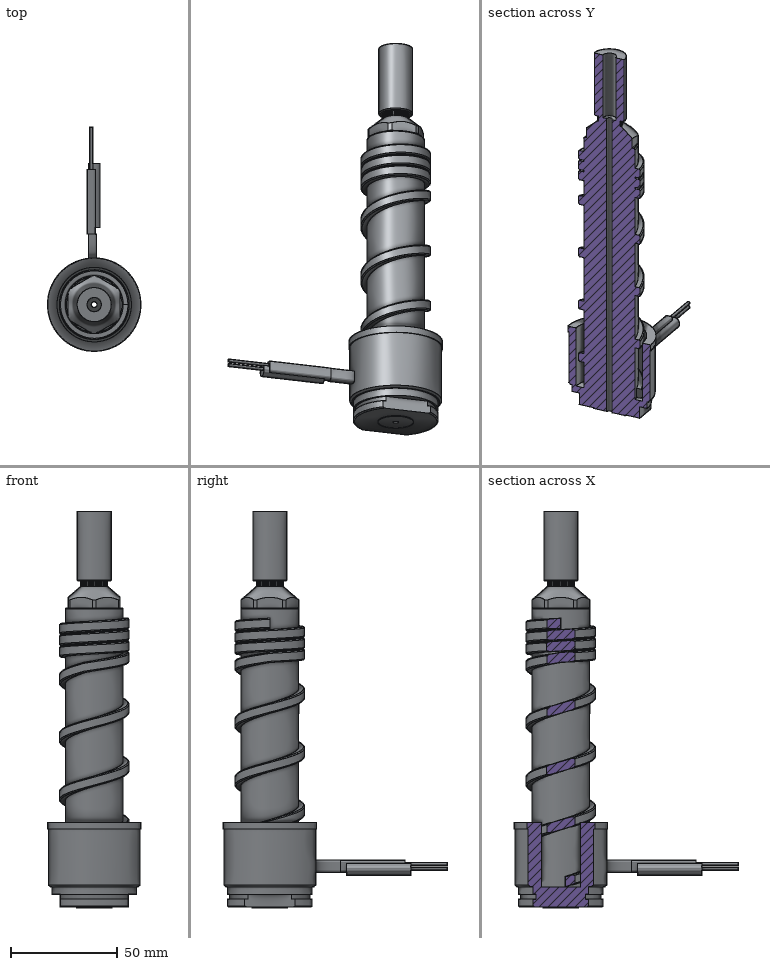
import cadquery as cq
import math

length = 186.3
foot_top = 0.4
groove_bottom = 4.1
groove_top = 6.3
shoulder_top = 9.9
flange_bottom = 37.0
housing_top = 40.2
bar_top = 141.0
neck_bottom = 151.0
neck_top = 153.5

foot_radius = 8.4
base_radius = 20.0
groove_radius = 19.0
housing_radius = 21.6
flange_radius = 22.0
housing_bore_radius = 17.5
bar_radius = 13.6
neck_radius = 6.3
tip_radius = 8.0
tip_bore_radius = 3.4
through_bore_radius = 1.3
edge_chamfer = 0.5
housing_chamfer = 1.0
flat_distance = 16.0

hex_across_flats = 24.4
hex_corner_radius = bar_radius
cone_rise_per_radius = 0.87

serration_count = 32
serration_depth = 0.5
serration_width = 0.5

coil_outer_radius = 16.4
coil_overlap = 0.5
coil_inner_radius = bar_radius - coil_overlap
coil_height = 4.8
coil_chamfer = 0.5
open_pitch = 27.4
open_end_height = 113.0
open_end_angle = -107.0
transition_end_height = 117.7
transition_turns = -open_end_angle / 360
closed_end_height = 133.8
closed_turns = 3

cable_start = 19.5
cable_end = 33.2
sleeve_end = 63.5
cable_width = 4.0
cable_height = 6.0
sleeve_height = 5.8
cable_corner = 1.1
cable_center_x = -0.84
sleeve_center_x = -1.4
lead_center_z = 19.5
body_radius = 2.8
body_start = 36.1
body_end = 66.3
body_center_z = 18.0
wire_radius = 0.7
wire_spacing = 2.2
wire_end = 83.5
wire_overlap = 1.9


def cylinder(radius, bottom, top):
    return cq.Workplane("XY").workplane(offset=bottom).circle(radius).extrude(top - bottom)


def make_base():
    foot = cylinder(foot_radius, 0, foot_top)
    lower = cylinder(base_radius, foot_top, groove_bottom).faces("<Z").chamfer(edge_chamfer)
    groove = cylinder(groove_radius, groove_bottom, groove_top)
    flats = cq.Workplane("XY").box(
        2 * flat_distance, 2 * base_radius, groove_top, centered=(True, True, False)
    )
    shoulder = cylinder(base_radius, groove_top, shoulder_top)
    return lower.union(groove).intersect(flats).union(foot).union(shoulder)


def make_housing():
    body = cylinder(housing_radius, shoulder_top, flange_bottom).faces("<Z").chamfer(housing_chamfer)
    flange = cylinder(flange_radius, flange_bottom, housing_top)
    bore = cylinder(housing_bore_radius, shoulder_top, housing_top)
    return body.union(flange).cut(bore)


def make_collar():
    """Hexagon with corners on the Y axis, trimmed by a cone above."""
    hexagon = (
        cq.Workplane("XY")
        .workplane(offset=bar_top)
        .transformed(rotate=(0, 0, 90))
        .polygon(6, hex_across_flats / math.cos(math.pi / 6))
        .extrude(neck_bottom - bar_top)
    )
    cone_bottom = neck_bottom - cone_rise_per_radius * (hex_corner_radius - neck_radius)
    envelope = (
        cq.Workplane("XZ")
        .moveTo(0, bar_top)
        .lineTo(hex_corner_radius, bar_top)
        .lineTo(hex_corner_radius, cone_bottom)
        .lineTo(neck_radius, neck_bottom)
        .lineTo(0, neck_bottom)
        .close()
        .revolve()
    )
    return hexagon.intersect(envelope)


def make_neck():
    neck = cylinder(neck_radius, neck_bottom, neck_top)
    notches = (
        cq.Workplane("XY")
        .workplane(offset=neck_bottom)
        .polarArray(neck_radius, 0, 360, serration_count)
        .rect(2 * serration_depth, serration_width)
        .extrude(neck_top - neck_bottom)
    )
    return neck.cut(notches)


def make_coil_run(start_height, end_height, start_angle, turns):
    """Right-handed strip wound on the bar, chamfered on its outer corners."""
    rise = end_height - start_height
    path = cq.Wire.makeHelix(rise / turns, rise, coil_outer_radius)
    half = coil_height / 2
    strip = (
        cq.Workplane("XZ")
        .moveTo(coil_inner_radius, -half)
        .lineTo(coil_outer_radius - coil_chamfer, -half)
        .lineTo(coil_outer_radius, coil_chamfer - half)
        .lineTo(coil_outer_radius, half - coil_chamfer)
        .lineTo(coil_outer_radius - coil_chamfer, half)
        .lineTo(coil_inner_radius, half)
        .close()
        .sweep(cq.Workplane(path), isFrenet=True)
    )
    return strip.rotate((0, 0, 0), (0, 0, 1), start_angle).translate((0, 0, start_height))


def make_coil():
    """Open turns rise from the housing floor, then tighten into closed turns."""
    height = shoulder_top + coil_height / 2
    open_turns = (open_end_height - height) / open_pitch
    angle = open_end_angle - 360 * open_turns
    coil = cq.Workplane("XY")
    for end_height, turns in (
        (open_end_height, open_turns),
        (transition_end_height, transition_turns),
        (closed_end_height, closed_turns),
    ):
        coil = coil.add(make_coil_run(height, end_height, angle, turns))
        height = end_height
        angle += 360 * turns
    return coil.combine()


def make_flat_lead(center_x, height, start, end):
    return (
        cq.Workplane("XY")
        .box(cable_width, end - start, height)
        .edges("|Y")
        .fillet(cable_corner)
        .translate((center_x, (start + end) / 2, lead_center_z))
    )


def make_round_lead(center_x, center_z, radius, start, end):
    return (
        cq.Workplane("XZ", origin=(center_x, start, center_z))
        .circle(radius)
        .extrude(start - end)
    )


def make_lead():
    lead = make_flat_lead(cable_center_x, cable_height, cable_start, cable_end)
    lead = lead.union(make_flat_lead(sleeve_center_x, sleeve_height, cable_end, sleeve_end))
    lead = lead.union(make_round_lead(0, body_center_z, body_radius, body_start, body_end))
    for side in (-1, 1):
        wire_z = lead_center_z + side * wire_spacing / 2
        wire_start = sleeve_end - wire_overlap
        lead = lead.union(make_round_lead(sleeve_center_x, wire_z, wire_radius, wire_start, wire_end))
    return lead


bar = cylinder(bar_radius, shoulder_top, bar_top).faces(">Z").chamfer(edge_chamfer)
wound_bar = bar.union(make_coil())
tip = cylinder(tip_radius, neck_top, length).faces("<Z").chamfer(edge_chamfer)

result = make_base().union(make_housing())
for section in (wound_bar, make_collar(), make_neck(), tip, make_lead()):
    result = result.union(section)
result = result.cut(cylinder(tip_bore_radius, neck_top, length))
result = result.cut(cylinder(through_bore_radius, 0, length))